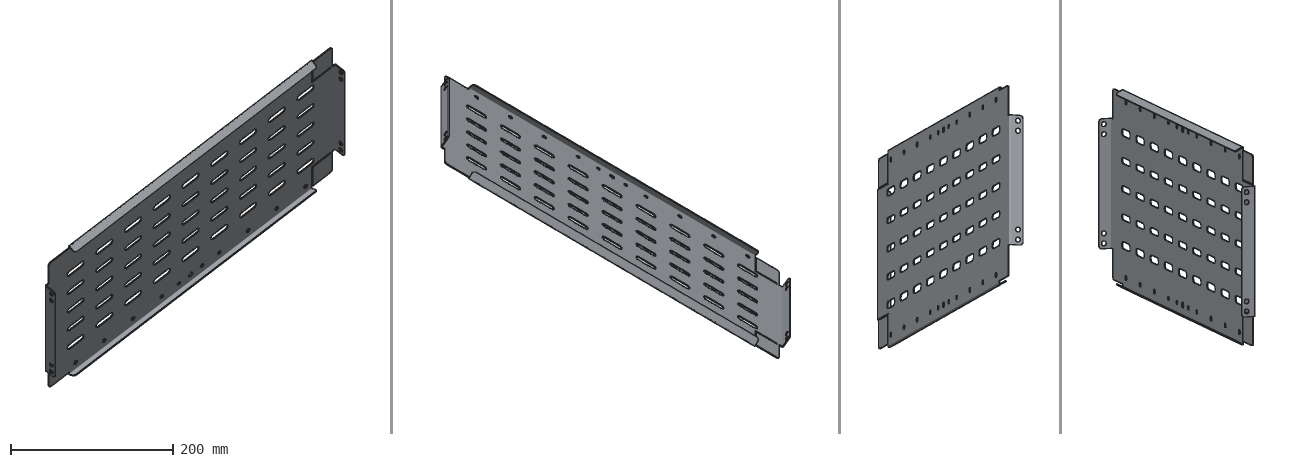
import cadquery as cq
import math

depth = 17.5
length = 505.5
height = 248.5

thickness = 1.5
bend_inner = 0.25
bend_outer = bend_inner + thickness
corner_radius = 4.0

cut_depth = 3 * thickness

panel_length = 493.5
panel_height = 239.5

side_flange_height = 163.5

lip_length = 422.5
lip_depth = 11.0
lip_droop = math.radians(30)

slit_width = 1.5
slit_end_y = 243.5

slot_length = 29.5
slot_pitch_y = 50.0
slot_pitch_z = 35.5
slot_columns = 9
slot_rows = 5
inner_slot_width = 7.5
outer_slot_width = 9.0

hole_row_z = 110.0
centre_hole = 7.0
large_hole = 6.0
medium_hole = 5.5
small_hole = 5.0
near_centre_y = 20.0

mount_hole = 6.0
mount_x = 11.0
mount_heights = (62.0, 75.0)


def build_panel():
    """Flat sheet: corner tabs, the strip between the lips and the strip between the side flanges."""
    tabs = (
        cq.Workplane("YZ")
        .rect(panel_length, panel_height)
        .extrude(thickness)
        .edges("|X")
        .fillet(corner_radius)
    )
    lip_strip = cq.Workplane("YZ").rect(lip_length, height - 2 * bend_outer).extrude(thickness)
    flange_strip = (
        cq.Workplane("YZ").rect(length - 2 * bend_outer, side_flange_height).extrude(thickness)
    )
    return tabs.union(lip_strip).union(flange_strip)


def bent_strip(plane, edge, tip, droop, width):
    """Bend and flat wall at a panel edge; the wall leans back by `droop` from square."""
    centre = (bend_outer, edge - bend_outer)
    wall_normal = (math.sin(droop), math.cos(droop))

    def on_bend(radius, direction):
        return centre[0] + radius * direction[0], centre[1] + radius * direction[1]

    half_turn = (math.pi / 2 + droop) / 2
    middle = (-math.cos(half_turn), math.sin(half_turn))
    outer_end = on_bend(bend_outer, wall_normal)
    inner_end = on_bend(bend_inner, wall_normal)
    run_x = tip - outer_end[0]
    run = (run_x, -run_x * math.tan(droop))
    return (
        cq.Workplane(plane)
        .moveTo(*on_bend(bend_outer, (-1, 0)))
        .threePointArc(on_bend(bend_outer, middle), outer_end)
        .line(*run)
        .lineTo(inner_end[0] + run[0], inner_end[1] + run[1])
        .lineTo(*inner_end)
        .threePointArc(on_bend(bend_inner, middle), on_bend(bend_inner, (-1, 0)))
        .close()
        .extrude(width / 2, both=True)
    )


def build_lip():
    """Top lip with rounded free corners."""
    lip = bent_strip("XZ", height / 2, lip_depth, lip_droop, lip_length)
    wall_direction = cq.Vector(math.cos(lip_droop), 0, -math.sin(lip_droop))
    wall_normal = cq.Vector(math.sin(lip_droop), 0, math.cos(lip_droop))
    tip_face = lip.faces(cq.selectors.DirectionMinMaxSelector(wall_direction, True))
    return tip_face.edges(cq.selectors.ParallelDirSelector(wall_normal)).fillet(corner_radius)


def build_side_flange():
    """+Y flange with rounded free corners and two pairs of mounting holes."""
    flange = bent_strip("XY", length / 2, depth, 0, side_flange_height)
    flange = flange.faces(">X").edges("|Y").fillet(corner_radius)
    hole_points = [(mount_x, side * z) for side in (1, -1) for z in mount_heights]
    holes = (
        cq.Workplane("XZ", origin=(0, length / 2 + thickness, 0))
        .pushPoints(hole_points)
        .circle(mount_hole / 2)
        .extrude(cut_depth)
    )
    return flange.cut(holes)


def panel_cutters():
    """Cutting bodies for every slot and round hole in the panel."""
    sketch_plane = cq.Workplane("YZ", origin=(-thickness, 0, 0))
    column_ys = [(i - (slot_columns - 1) / 2) * slot_pitch_y for i in range(slot_columns)]
    cutters = []

    for row in range(slot_rows):
        z = (row - (slot_rows - 1) / 2) * slot_pitch_z
        width = outer_slot_width if row in (0, slot_rows - 1) else inner_slot_width
        row_points = [(y, z) for y in column_ys]
        slots = sketch_plane.pushPoints(row_points).slot2D(slot_length, width)
        cutters.append(slots.extrude(cut_depth))

    hole_sizes = {
        0: centre_hole,
        near_centre_y: small_hole,
        slot_pitch_y: small_hole,
        2 * slot_pitch_y: large_hole,
        3 * slot_pitch_y: medium_hole,
        4 * slot_pitch_y: large_hole,
    }
    for y, diameter in hole_sizes.items():
        sides = (1, -1) if y else (1,)
        points = [(side * y, end * hole_row_z) for side in sides for end in (1, -1)]
        cutters.append(sketch_plane.pushPoints(points).circle(diameter / 2).extrude(cut_depth))
    return cutters


def build_slit():
    """L-shaped slit around the upper +Y corner tab, open at the top edge."""
    inner_y = lip_length / 2
    lower_z = side_flange_height / 2
    return (
        cq.Workplane("YZ", origin=(-thickness, 0, 0))
        .moveTo(inner_y, lower_z)
        .lineTo(slit_end_y, lower_z)
        .lineTo(slit_end_y, lower_z + slit_width)
        .lineTo(inner_y + slit_width, lower_z + slit_width)
        .lineTo(inner_y + slit_width, height / 2)
        .lineTo(inner_y, height / 2)
        .close()
        .extrude(cut_depth)
    )


lip = build_lip()
side_flange = build_side_flange()
slit = build_slit()

result = build_panel()
for cutter in panel_cutters():
    result = result.cut(cutter)
result = result.cut(slit).cut(slit.mirror("XY"))
result = result.union(lip).union(lip.mirror("XY"))
result = result.union(side_flange).union(side_flange.mirror("XZ"))